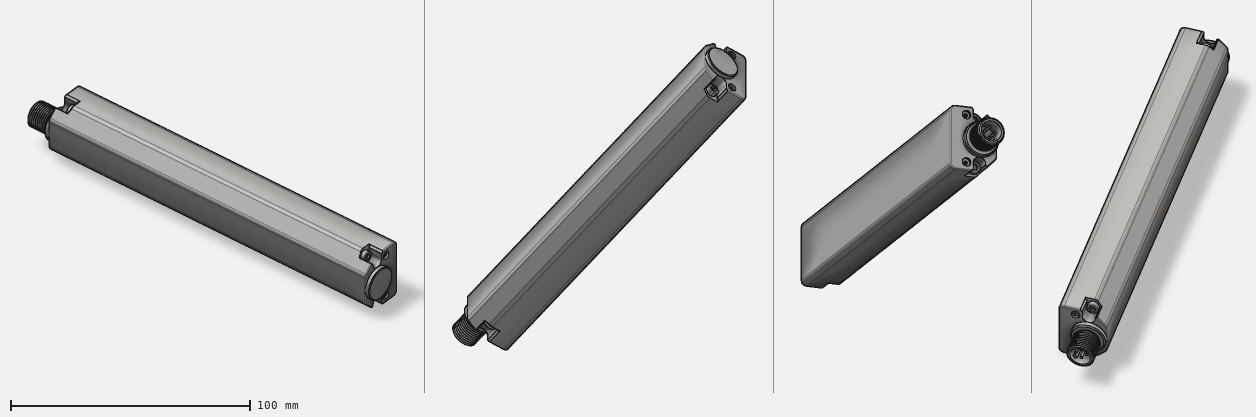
import cadquery as cq
import math

length = 186.0
depth = 21.0
height = 28.0
case_start = 13.0
case_end = 184.0
case_length = case_end - case_start

overlap = 1.0

front_chamfer = 6.7
edge_radius = 2.5
end_radius = 0.5

screw_y = -2.6
screw_z = 10.5
recess_radius = 2.8
recess_lip = 1.0
recess_depth = 6.9
ramp_length = 0.7
ramp_drop = 2.5
head_radius = 2.6
head_height = 1.7
head_rounding = 0.4
socket_size = 3.0
socket_depth = 1.1

pilot_y = 3.2
pilot_radius = 1.9
pilot_depth = 1.1
pilot_core_radius = 0.7
pilot_core_depth = 2.8

flange_radius = 7.6
connector_y = flange_radius - depth / 2
flange_start = 10.6
flange_chamfer = 0.5
cover_chamfer = 0.4
thread_radius = 6.0
thread_pitch = 1.0
thread_depth = 0.61
thread_count = 10
bore_radius = 4.5
bore_depth = 8.5
pin_radius = 0.5
pin_circle_radius = 2.5
pin_length = 6.7
pin_count = 4
key_inner_radius = 3.0
key_width = 1.5
key_root = 0.5
key_angle = -45


def x_cylinder(x, y, z, radius, size):
    """Cylinder along +X whose first face is centred on (x, y, z)."""
    return cq.Workplane("YZ", origin=(x, y, z)).circle(radius).extrude(size)


def make_case():
    back = depth / 2
    top = height / 2
    outline = [
        (back, -top),
        (back, top),
        (-back + front_chamfer, top),
        (-back, top - front_chamfer),
        (-back, -top + front_chamfer),
        (-back + front_chamfer, -top),
    ]
    case = cq.Workplane("YZ", origin=(case_start, 0, 0)).polyline(outline).close().extrude(case_length)
    case = case.edges("|X").fillet(edge_radius)
    return case.faces("<X or >X").edges().fillet(end_radius)


def make_recess():
    """Round-bottomed slot with flared rims and a sloping inner end, open upwards and at the -X end."""
    top = height / 2
    back_wall = screw_y + recess_radius
    front_wall = screw_y - recess_radius
    back_rim = back_wall + recess_lip
    front_rim = front_wall - recess_lip

    front_rim_z = top - front_chamfer + (front_rim + depth / 2)
    slot_outline = [
        (back_wall, screw_z),
        (back_wall, top - recess_lip),
        (back_rim, top),
        (front_rim - (top - front_rim_z), top),
        (front_wall, front_rim_z - recess_lip),
        (front_wall, screw_z),
    ]
    slot = cq.Workplane("YZ", origin=(case_start, 0, 0)).polyline(slot_outline).close().extrude(recess_depth)
    round_bottom = x_cylinder(case_start, screw_y, screw_z, recess_radius, recess_depth)

    inner_end = case_start + recess_depth
    ramp_outline = [(inner_end, top - ramp_drop), (inner_end + ramp_length, top), (inner_end, top)]
    ramp = (
        cq.Workplane("XZ", origin=(0, back_rim, 0))
        .polyline(ramp_outline)
        .close()
        .extrude(back_rim - front_rim)
    )
    return slot.union(round_bottom).union(ramp)


def make_screw_head():
    """Socket head with a rounded rim, seated on the inner end of the recess."""
    head_start = case_start + recess_depth - head_height
    head = x_cylinder(head_start, screw_y, screw_z, head_radius, head_height + overlap)
    head = head.faces("<X").edges().fillet(head_rounding)
    socket = (
        cq.Workplane("YZ", origin=(head_start, screw_y, screw_z))
        .polygon(6, socket_size)
        .extrude(socket_depth)
    )
    return head.cut(socket)


def make_pilot_hole():
    mouth = x_cylinder(case_start, pilot_y, screw_z, pilot_radius, pilot_depth)
    core = x_cylinder(case_start, pilot_y, screw_z, pilot_core_radius, pilot_core_depth)
    return mouth.union(core)


def at_four_corners(shape):
    """The shape and its mirror images at the other three end corners."""
    middle = ((case_start + case_end) / 2, 0, 0)
    pair = shape.union(shape.mirror("XY"))
    return pair.union(pair.mirror("YZ", middle))


def make_thread():
    """Threaded sleeve, with the thread simplified to V-shaped rings."""
    root_radius = thread_radius - thread_depth
    profile = [(0, 0), (0, root_radius)]
    for turn in range(thread_count):
        ring_start = turn * thread_pitch
        profile.append((ring_start + thread_pitch / 2, thread_radius))
        profile.append((ring_start + thread_pitch, root_radius))
    profile += [(case_start, root_radius), (case_start, 0)]
    sleeve = cq.Workplane("XY").polyline(profile).close().revolve(360, (0, 0, 0), (1, 0, 0))
    return sleeve.translate((0, connector_y, 0))


def make_key():
    """Coding rib along the bore wall, as long as the pins."""
    rib_height = bore_radius - key_inner_radius + key_root
    rib = (
        cq.Workplane("YZ", origin=(bore_depth - pin_length, 0, 0))
        .center(key_inner_radius + rib_height / 2, 0)
        .rect(rib_height, key_width)
        .extrude(pin_length + overlap)
    )
    return rib.rotate((0, 0, 0), (1, 0, 0), key_angle).translate((0, connector_y, 0))


def make_connector():
    flange_length = case_start - flange_start
    flange = x_cylinder(flange_start, connector_y, 0, flange_radius, flange_length + overlap)
    flange = flange.faces("<X").chamfer(flange_chamfer)
    bore = x_cylinder(0, connector_y, 0, bore_radius, bore_depth)
    connector = make_thread().union(flange).cut(bore)
    for index in range(pin_count):
        angle = 2 * math.pi * index / pin_count
        pin_y = connector_y + pin_circle_radius * math.cos(angle)
        pin_z = pin_circle_radius * math.sin(angle)
        pin = x_cylinder(bore_depth - pin_length, pin_y, pin_z, pin_radius, pin_length + overlap)
        connector = connector.union(pin)
    return connector.union(make_key())


def make_end_cover():
    """Plain round cover on the +X end."""
    cover = x_cylinder(case_end - overlap, connector_y, 0, flange_radius, length - case_end + overlap)
    return cover.faces(">X").chamfer(cover_chamfer)


result = make_case()
result = result.cut(at_four_corners(make_recess()))
result = result.cut(at_four_corners(make_pilot_hole()))
result = result.union(at_four_corners(make_screw_head()))
result = result.union(make_connector())
result = result.union(make_end_cover())